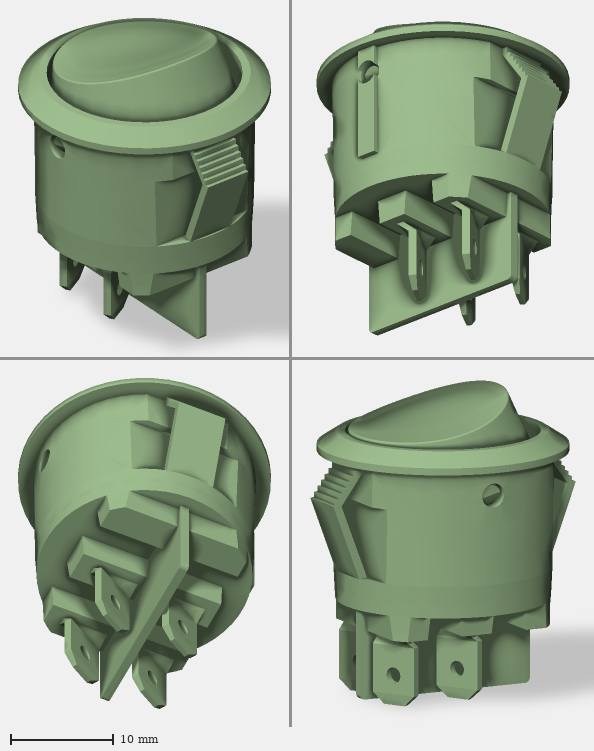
import cadquery as cq


FLANGE_RADIUS = 12.4
FLANGE_TOP_RADIUS = 10.4
FLANGE_RIM_HEIGHT = 0.7
FLANGE_HEIGHT = 2.0
OPENING_RADIUS = 19.2 / 2

BARREL_TOP_RADIUS = 10.92
BARREL_BOTTOM_RADIUS = 10.75
BASE_BOTTOM_RADIUS = 10.58
RING_TOP_Z = -11.53
BASE_Z = -14.7
UPPER_FLAT_X = 10.0
LOWER_FLAT_X = 9.15
FLAT_STEP_Z = -4.05

RIB_WIDTH = 2.1
RIB_OUTER_Y = 11.4

PIVOT_Z = -2.57
TILT_DEGREES = 14.0
ROCKER_RADIUS = 9.5
ROCKER_RIM_RADIUS = 8.0
ROCKER_RIM_HEIGHT = 7.02
ROCKER_BOTTOM_RADIUS = 7.2
ROCKER_BOTTOM_DEPTH = 4.0
ROCKER_DISH_DEPTH = 0.92
ROCKER_RIM_FILLET = 0.2
ROCKER_FLAT_Y = 9.05
PIN_DIAMETER = 1.9
PIN_HOLE_DIAMETER = 2.4
PIN_END_Y = 10.5
PIN_RAMP_LENGTH = 0.6

CLIP_WIDTH = 5.0
CLIP_TIP_X = 26.7 / 2
CLIP_TIP_Z = -3.97
CLIP_THICKNESS_X = 0.9
CLIP_FOOT_X = 9.6
CLIP_ROOT_X = 9.5
STEP_COUNT = 7
STEP_DEPTH = 0.4
STEP_HEIGHT = 0.55

BAR_PITCH = 7.03
BAR_WIDTH = 3.65
BAR_END_Y = 7.55
BAR_HEIGHT = 2.5
BAR_TAPER_DEGREES = 5.0
BAR_BOTTOM_Z = BASE_Z - BAR_HEIGHT

PLATE_WIDTH = 18.65
PLATE_THICKNESS = 0.9
PLATE_BOTTOM_Z = -24.1
PLATE_CORNER_RADIUS = 0.5

BLADE_WIDTH = 4.8
BLADE_THICKNESS = 0.8
BLADE_TWIST_DEGREES = 30.0
BLADE_COLUMNS_X = (-7.0, 0.0)
BLADE_ROWS_Y = (3.8, -3.5)
BLADE_STRAIGHT_Z = -18.25
BLADE_TIP_START_Z = -23.1
BLADE_TIP_Z = -24.21
BLADE_TIP_WIDTH = 2.4
BLADE_TIP_THICKNESS = 0.5
BLADE_NECK_SHIFT_Y = 0.17
BLADE_HOLE_DIAMETER = 1.6
BLADE_HOLE_Z = -21.23


def make_housing():
    """Flange, barrel and base ring as one revolved body, with stepped flats on both X sides."""
    housing = (
        cq.Workplane("XZ")
        .moveTo(0, BASE_Z)
        .lineTo(BASE_BOTTOM_RADIUS, BASE_Z)
        .lineTo(BARREL_BOTTOM_RADIUS, RING_TOP_Z)
        .lineTo(BARREL_TOP_RADIUS, 0)
        .lineTo(FLANGE_RADIUS, 0)
        .lineTo(FLANGE_RADIUS, FLANGE_RIM_HEIGHT)
        .lineTo(FLANGE_TOP_RADIUS, FLANGE_HEIGHT)
        .lineTo(0, FLANGE_HEIGHT)
        .close()
        .revolve(360, (0, 0, 0), (0, 1, 0))
    )
    rib = cq.Workplane("XY").box(RIB_WIDTH, RIB_OUTER_Y, -RING_TOP_Z, centered=(True, False, False))
    housing = housing.union(rib.translate((0, 0, RING_TOP_Z)))

    for side in (-1, 1):
        flat_cut = (
            cq.Workplane("XZ")
            .moveTo(side * UPPER_FLAT_X, 0)
            .lineTo(side * UPPER_FLAT_X, FLAT_STEP_Z)
            .lineTo(side * LOWER_FLAT_X, FLAT_STEP_Z)
            .lineTo(side * LOWER_FLAT_X, RING_TOP_Z)
            .lineTo(side * FLANGE_RADIUS, RING_TOP_Z)
            .lineTo(side * FLANGE_RADIUS, 0)
            .close()
            .extrude(FLANGE_RADIUS, both=True)
        )
        housing = housing.cut(flat_cut)

    cavity = cq.Workplane("XY", origin=(0, 0, FLAT_STEP_Z)).circle(OPENING_RADIUS)
    housing = housing.cut(cavity.extrude(FLANGE_HEIGHT - FLAT_STEP_Z))
    pin_holes = cq.Workplane("XZ").center(0, PIVOT_Z).circle(PIN_HOLE_DIAMETER / 2)
    return housing.cut(pin_holes.extrude(FLANGE_RADIUS, both=True))


def make_pin():
    """Pivot pin toward -Y around the origin, with a ramp on the lower half of its end."""
    pin_radius = PIN_DIAMETER / 2
    pin = cq.Workplane("XZ").circle(pin_radius).extrude(PIN_END_Y)
    ramp = (
        cq.Workplane("YZ")
        .moveTo(-PIN_END_Y, 0)
        .lineTo(-PIN_END_Y, -pin_radius)
        .lineTo(-PIN_END_Y + PIN_RAMP_LENGTH, -pin_radius)
        .close()
        .extrude(pin_radius, both=True)
    )
    return pin.cut(ramp)


def make_rocker():
    """Conical rocker with a dished top and a tapered underside, seated on the cavity floor."""
    rocker = (
        cq.Workplane("XZ")
        .moveTo(0, -ROCKER_BOTTOM_DEPTH)
        .lineTo(ROCKER_BOTTOM_RADIUS, -ROCKER_BOTTOM_DEPTH)
        .lineTo(ROCKER_RADIUS, 0)
        .lineTo(ROCKER_RIM_RADIUS, ROCKER_RIM_HEIGHT)
        .lineTo(0, ROCKER_RIM_HEIGHT)
        .close()
        .revolve(360, (0, 0, 0), (0, 1, 0))
    )
    dish_radius = (ROCKER_RIM_RADIUS**2 + ROCKER_DISH_DEPTH**2) / (2 * ROCKER_DISH_DEPTH)
    dish_center_z = ROCKER_RIM_HEIGHT - ROCKER_DISH_DEPTH + dish_radius
    dish = cq.Workplane("XZ").center(0, dish_center_z).circle(dish_radius)
    rocker = rocker.cut(dish.extrude(FLANGE_RADIUS, both=True))
    rocker = rocker.faces(">Z").edges().fillet(ROCKER_RIM_FILLET)

    between_flats = cq.Workplane("XY").box(4 * ROCKER_RADIUS, 2 * ROCKER_FLAT_Y, 4 * ROCKER_RADIUS)
    rocker = rocker.intersect(between_flats)
    pin = make_pin()
    rocker = rocker.union(pin).union(pin.mirror("XZ"))

    rocker = rocker.rotate((0, 0, 0), (0, 1, 0), -TILT_DEGREES).translate((0, 0, PIVOT_Z))
    above_floor = cq.Workplane("XY").box(
        4 * ROCKER_RADIUS, 4 * ROCKER_RADIUS, 2 * ROCKER_RADIUS, centered=(True, True, False)
    )
    return rocker.intersect(above_floor.translate((0, 0, FLAT_STEP_Z)))


def make_clip():
    """Spring clip on the +X side: a sloping leg below its tip and a flight of steps above it."""
    outline = (
        cq.Workplane("XZ")
        .moveTo(CLIP_ROOT_X, 0)
        .lineTo(CLIP_TIP_X - CLIP_THICKNESS_X, FLAT_STEP_Z)
        .lineTo(CLIP_FOOT_X, RING_TOP_Z)
        .lineTo(CLIP_FOOT_X + CLIP_THICKNESS_X, RING_TOP_Z)
        .lineTo(CLIP_TIP_X, CLIP_TIP_Z)
    )
    for step in range(1, STEP_COUNT + 1):
        riser_x = CLIP_TIP_X - step * STEP_DEPTH
        outline = outline.lineTo(riser_x, CLIP_TIP_Z + (step - 1) * STEP_HEIGHT)
        if step < STEP_COUNT:
            outline = outline.lineTo(riser_x, CLIP_TIP_Z + step * STEP_HEIGHT)
    outline = outline.lineTo(CLIP_TIP_X - STEP_COUNT * STEP_DEPTH, 0)
    return outline.close().extrude(CLIP_WIDTH / 2, both=True)


def make_bars():
    """Three tapered bars along Y, cut square at +Y and rounded to the base ring."""
    length = 4 * BAR_END_Y
    bars = cq.Workplane("XY")
    for column in (-1, 0, 1):
        bar = (
            cq.Workplane("XY", origin=(0, 0, BASE_Z))
            .transformed(rotate=(180, 0, 0))
            .center(column * BAR_PITCH, BAR_END_Y - length / 2)
            .rect(BAR_WIDTH, length)
            .extrude(BAR_HEIGHT, taper=BAR_TAPER_DEGREES)
        )
        bars = bars.union(bar)
    square_end = cq.Workplane("XY", origin=(0, BAR_END_Y, BAR_BOTTOM_Z))
    square_end = square_end.box(length, length, BAR_HEIGHT, centered=(True, False, False))
    round_limit = cq.Workplane("XY", origin=(0, 0, BAR_BOTTOM_Z)).circle(BASE_BOTTOM_RADIUS)
    return bars.cut(square_end).intersect(round_limit.extrude(BAR_HEIGHT))


def make_plate():
    """Divider plate in the XZ plane with rounded lower corners."""
    height = BASE_Z - PLATE_BOTTOM_Z
    plate = cq.Workplane("XY", origin=(0, 0, PLATE_BOTTOM_Z))
    plate = plate.box(PLATE_WIDTH, PLATE_THICKNESS, height, centered=(True, True, False))
    return plate.edges("|Y and <Z").fillet(PLATE_CORNER_RADIUS)


def make_blade():
    """Blade terminal around the Z axis: twisted neck, straight blade with a hole, tapered tip."""
    straight_length = BLADE_STRAIGHT_Z - BLADE_TIP_START_Z
    neck = (
        cq.Workplane("XY", origin=(0, 0, BAR_BOTTOM_Z))
        .center(0, BLADE_NECK_SHIFT_Y)
        .rect(BLADE_THICKNESS, BLADE_WIDTH)
        .center(0, -BLADE_NECK_SHIFT_Y)
        .workplane(offset=BLADE_STRAIGHT_Z - BAR_BOTTOM_Z)
        .transformed(rotate=(0, 0, BLADE_TWIST_DEGREES))
        .rect(BLADE_THICKNESS, BLADE_WIDTH)
        .loft(ruled=True)
    )
    hole = cq.Workplane("YZ").center(0, BLADE_HOLE_Z).circle(BLADE_HOLE_DIAMETER / 2)
    hole = hole.extrude(BLADE_THICKNESS, both=True).rotate((0, 0, 0), (0, 0, 1), BLADE_TWIST_DEGREES)
    blade_section = (
        cq.Workplane("XY", origin=(0, 0, BLADE_TIP_START_Z))
        .transformed(rotate=(0, 0, BLADE_TWIST_DEGREES))
        .rect(BLADE_THICKNESS, BLADE_WIDTH)
    )
    straight = blade_section.extrude(straight_length, combine=False).cut(hole)
    tip = (
        cq.Workplane("XY", origin=(0, 0, BLADE_TIP_START_Z))
        .transformed(rotate=(0, 0, BLADE_TWIST_DEGREES))
        .rect(BLADE_THICKNESS, BLADE_WIDTH)
        .workplane(offset=BLADE_TIP_Z - BLADE_TIP_START_Z)
        .rect(BLADE_TIP_THICKNESS, BLADE_TIP_WIDTH)
        .loft(ruled=True)
    )
    return neck.union(straight).union(tip)


clip = make_clip()
result = make_housing().union(make_rocker()).union(clip).union(clip.mirror("YZ"))
result = result.union(make_bars()).union(make_plate())

blade = make_blade()
for blade_x in BLADE_COLUMNS_X:
    for blade_y in BLADE_ROWS_Y:
        result = result.union(blade.translate((blade_x, blade_y, 0)))